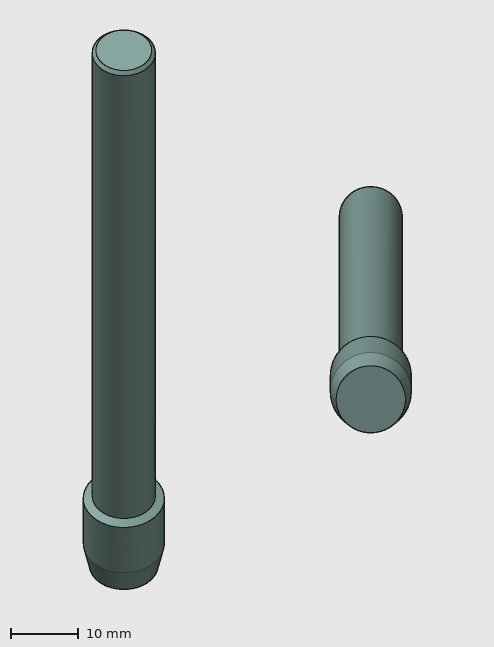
import cadquery as cq

total_length = 110.0
shaft_diameter = 9.4
head_diameter = 12.0

nose_diameter = 10.2
nose_height = 4.5
band_height = 9.7
shoulder_height = 0.5
head_height = nose_height + band_height + shoulder_height

bevel_size = 0.5


def make_head():
    """Solid head whose shoulder slopes up to the shaft diameter."""
    band_top = nose_height + band_height
    return (
        cq.Workplane("XZ")
        .lineTo(nose_diameter / 2, 0)
        .lineTo(head_diameter / 2, nose_height)
        .lineTo(head_diameter / 2, band_top)
        .lineTo(shaft_diameter / 2, head_height)
        .lineTo(0, head_height)
        .close()
        .revolve(360, (0, 0, 0), (0, 1, 0))
    )


def make_shaft():
    """Round shaft standing on the head, beveled at its upper end."""
    return (
        cq.Workplane("XY", origin=(0, 0, head_height))
        .circle(shaft_diameter / 2)
        .extrude(total_length - head_height)
        .faces(">Z")
        .chamfer(bevel_size)
    )


head = make_head()
shaft = make_shaft()

result = cq.Compound.makeCompound([head.val(), shaft.val()])